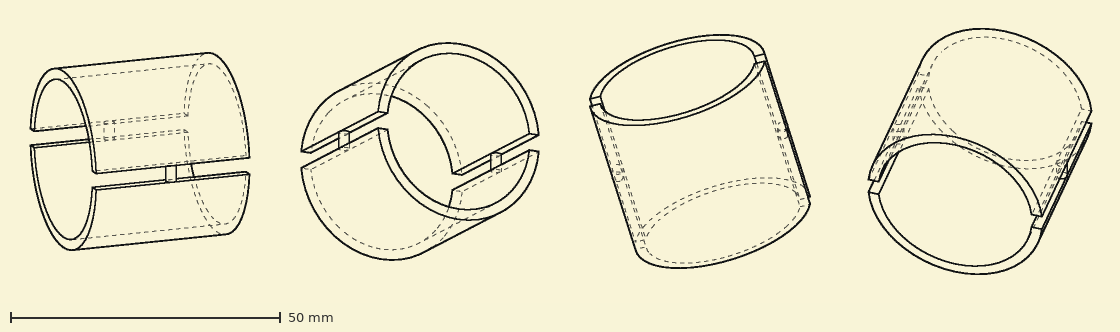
import cadquery as cq

outer_diameter = 33.87
wall = 2.0
length = 30.48
gap = 3.15
pin_diameter = wall

pin_offset = 15.92


def split_sleeve():
    """Tube along Y, divided into upper and lower shells by a level gap."""
    tube = (
        cq.Workplane("XZ")
        .circle(outer_diameter / 2)
        .circle(outer_diameter / 2 - wall)
        .extrude(length / 2, both=True)
    )
    return tube.cut(cq.Workplane("XY").box(outer_diameter, length, gap))


def connecting_pins():
    """One upright pin on each side, bridging the gap at mid length."""
    return (
        cq.Workplane("XY")
        .pushPoints([(-pin_offset, 0), (pin_offset, 0)])
        .circle(pin_diameter / 2)
        .extrude(gap / 2, both=True)
    )


result = split_sleeve().union(connecting_pins())